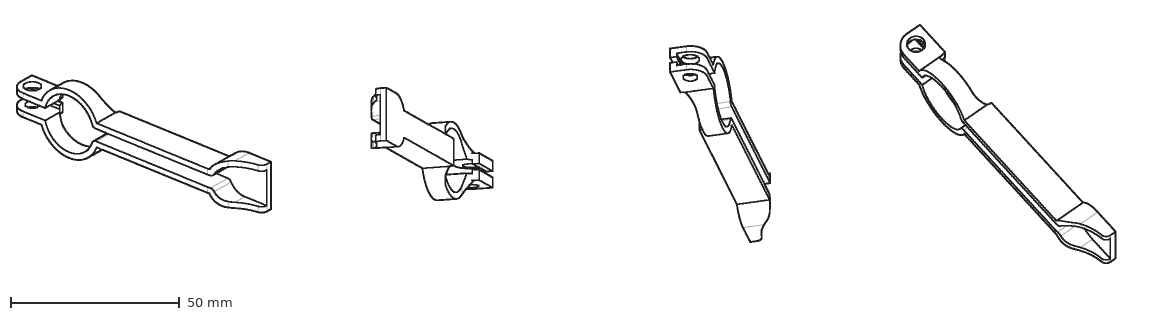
import cadquery as cq
import math

length = 93.0
depth = 10.0
double_wall = 4.0
wall = double_wall / 2
back_plate = wall

ring_x = 23.0
ring_diameter = 23.0
ring_radius = ring_diameter / 2
notch_half_width = 11.0
notch_depth = double_wall

arm_half_height = 4.1
slit_half_height = 0.9
head_x = 84.35
head_radius = 8.0
inner_blend_radius = 1.5

screw_x = 4.5
screw_y = depth / 2
clearance_diameter = 5.4
thread_hole_diameter = 4.3
lip_corner_radius = 5.0

slope_start_x = 76.7
slope_middle = (82.8, 2.2)
slope_end = (91.2, 6.0)
tip_corner_end_y = depth - back_plate
cut_margin = 0.9

channel_half_height = arm_half_height - wall


def bar(x_start, x_end, half_height):
    """Full-depth rectangular bar centred on z = 0."""
    return (
        cq.Workplane("XY")
        .box(x_end - x_start, depth, 2 * half_height, centered=(False, False, True))
        .translate((x_start, 0, 0))
    )


def disc(x, radius):
    """Full-depth cylinder along Y, centred on z = 0."""
    return cq.Workplane("XZ").center(x, 0).circle(radius).extrude(-depth)


def blend_wedges(x, radius, direction):
    """Voids that round the corners where a bore meets the channel.

    The direction is +1 for the +X side of the bore and -1 for the -X side.
    """
    center_z = channel_half_height + inner_blend_radius
    reach = math.sqrt((radius + inner_blend_radius) ** 2 - center_z ** 2)
    center_x = x + direction * reach
    on_bore = radius / (radius + inner_blend_radius)
    touch_x = x + direction * reach * on_bore
    touch_z = center_z * on_bore
    bore_angle = math.atan2(touch_z - center_z, touch_x - center_x)
    channel_angle = -math.pi / 2
    middle_angle = (bore_angle + channel_angle) / 2
    middle = (
        center_x + inner_blend_radius * math.cos(middle_angle),
        center_z + inner_blend_radius * math.sin(middle_angle),
    )
    upper = (
        cq.Workplane("XZ")
        .moveTo(touch_x, touch_z)
        .threePointArc(middle, (center_x, channel_half_height))
        .lineTo(x, channel_half_height)
        .close()
        .extrude(-depth)
    )
    return upper.union(upper.mirror("XY"))


def head_body(radius):
    """Flared head: a rounded start followed by a straight part."""
    return disc(head_x, radius).union(bar(head_x, length, radius))


def build_body():
    """Hollow bar with its back plate, clamp ring and flared head."""
    outline = bar(0, length, arm_half_height)
    outline = outline.union(disc(ring_x, ring_radius)).union(head_body(head_radius))

    bore_radius = ring_radius - wall
    head_inner_radius = head_radius - wall
    channel = bar(0, length, channel_half_height)
    channel = channel.union(head_body(head_inner_radius))
    channel = channel.union(blend_wedges(head_x, head_inner_radius, -1))
    pocket_space = bar(0, length, ring_radius).translate((0, -back_plate, 0))
    channel = channel.intersect(pocket_space)

    ring_bore = disc(ring_x, bore_radius)
    blend = blend_wedges(ring_x, bore_radius, 1).intersect(pocket_space)
    return outline.cut(channel).cut(ring_bore).cut(blend)


def ring_notch():
    """Notch across the back of the ring with rounded floor corners."""
    return (
        cq.Workplane("XY")
        .box(2 * notch_half_width, 2 * notch_depth, 2 * ring_radius)
        .edges("|Z and <Y")
        .fillet(notch_depth)
        .translate((ring_x, depth, 0))
    )


def head_slope_cut():
    """Space in front of the S-shaped front edge and rounded tip of the head."""
    return (
        cq.Workplane("XY", origin=(0, 0, -ring_radius))
        .moveTo(slope_start_x - cut_margin, 0)
        .lineTo(slope_start_x, 0)
        .tangentArcPoint(slope_middle, relative=False)
        .tangentArcPoint(slope_end, relative=False)
        .tangentArcPoint((length, tip_corner_end_y), relative=False)
        .lineTo(length, 0)
        .lineTo(length, -cut_margin)
        .lineTo(slope_start_x - cut_margin, -cut_margin)
        .close()
        .extrude(2 * ring_radius)
    )


def screw_hole(diameter, direction):
    """Hole through the upper (+1) or lower (-1) lip."""
    return (
        cq.Workplane("XY")
        .center(screw_x, screw_y)
        .circle(diameter / 2)
        .extrude(direction * arm_half_height)
    )


body = build_body()
body = body.cut(bar(0, ring_x, slit_half_height))
body = body.cut(ring_notch())
body = body.cut(head_slope_cut())
body = body.cut(screw_hole(clearance_diameter, 1))
body = body.cut(screw_hole(thread_hole_diameter, -1))
lip_corners = body.faces("<X").edges("|Z").edges("<Y")
result = lip_corners.fillet(lip_corner_radius)